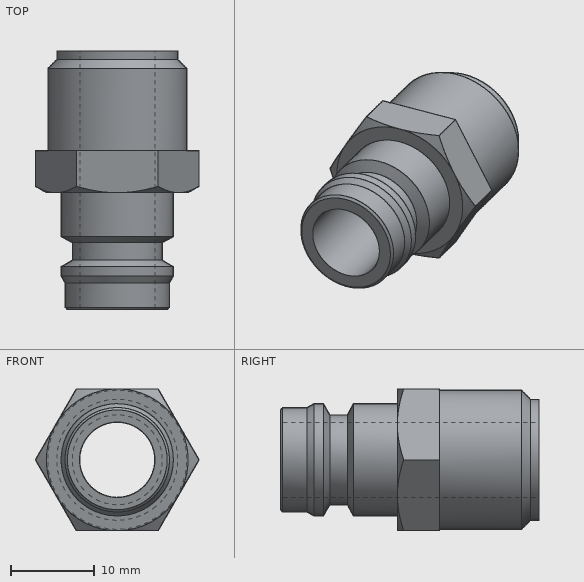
import cadquery as cq
import math

length = 31.0
hex_across_flats = 17.0
bore_diameter = 9.0

tip_radius = 6.25
tip_chamfer = 0.28
tip_end = 3.2
collar_radius = 6.73
collar_start = 4.03
collar_end = 5.15
groove_radius = 5.4
groove_start = 5.92
groove_end = 8.03
neck_start = 8.75

hex_start = 14.0
hex_end = 19.05
hex_chamfer_angle = 30.0

thread_radius = 8.35
thread_end = 28.9
end_cone_end = 29.98
end_radius = 7.25


def turned_body():
    """Revolve the outer profile (radius, Y) about the Y axis."""
    profile = [
        (0, 0),
        (tip_radius - tip_chamfer, 0),
        (tip_radius, tip_chamfer),
        (tip_radius, tip_end),
        (collar_radius, collar_start),
        (collar_radius, collar_end),
        (groove_radius, groove_start),
        (groove_radius, groove_end),
        (collar_radius, neck_start),
        (collar_radius, hex_start),
        (thread_radius, hex_start),
        (thread_radius, thread_end),
        (end_radius, end_cone_end),
        (end_radius, length),
        (0, length),
    ]
    return cq.Workplane("XY").polyline(profile).close().revolve(360, (0, 0), (0, 1))


def hexagon():
    """Hexagon with corners on X, its plug-side corners trimmed by a cone."""
    flat_radius = hex_across_flats / 2
    corner_radius = flat_radius / math.cos(math.radians(30))
    width = hex_end - hex_start
    prism = (
        cq.Workplane("XZ", origin=(0, hex_end, 0))
        .polygon(6, 2 * corner_radius)
        .extrude(width)
    )
    cone_outer_radius = flat_radius + width / math.tan(math.radians(hex_chamfer_angle))
    cone_profile = [
        (0, hex_start),
        (flat_radius, hex_start),
        (cone_outer_radius, hex_end),
        (0, hex_end),
    ]
    cone = cq.Workplane("XY").polyline(cone_profile).close().revolve(360, (0, 0), (0, 1))
    return prism.intersect(cone)


def bore():
    """Through bore along the axis."""
    return cq.Workplane("XZ").circle(bore_diameter / 2).extrude(-length)


result = turned_body().union(hexagon()).cut(bore())